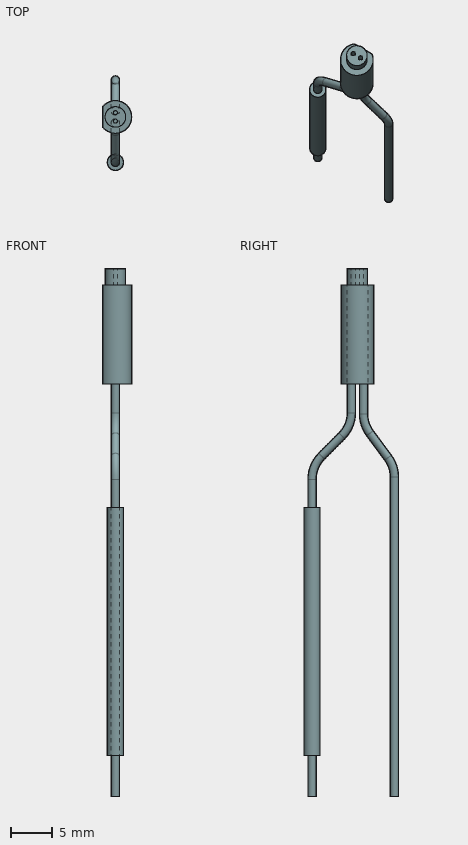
import cadquery as cq
import math

total_height = 64.0

body_diameter = 4.0
body_length = 12.0
body_flat_offset = 1.55
nose_diameter = 2.5
nose_length = 2.0
contact_diameter = 0.5
contact_pitch = 1.0
contact_depth = nose_length

wire_diameter = 1.0
wire_bend_radius = 4.0
bare_wire_y = 4.5
bare_straight_length = 3.6
bare_bend_height = 7.7
sleeved_wire_y = -5.5
sleeved_straight_length = 3.45
sleeved_bend_height = 8.05

sleeve_diameter = 2.0
sleeve_bottom = 5.0
sleeve_length = 30.1

nose_base = total_height - nose_length
body_bottom = nose_base - body_length
wire_exit_y = (nose_diameter - wire_diameter) / 2


def cylinder(diameter, bottom, length, y=0.0):
    """Vertical cylinder centred on X = 0."""
    return cq.Workplane("XY", origin=(0, y, bottom)).circle(diameter / 2).extrude(length)


def make_head():
    """Flatted body with a round nose and two contact holes."""
    body = cylinder(body_diameter, body_bottom, body_length)
    keep_box = (
        cq.Workplane("XY", origin=(-body_flat_offset, 0, body_bottom))
        .box(body_diameter, body_diameter, body_length, centered=(False, True, False))
    )
    head = body.intersect(keep_box).union(cylinder(nose_diameter, nose_base, nose_length))
    for side in (-1, 1):
        contact = cylinder(
            contact_diameter, total_height - contact_depth, contact_depth, side * contact_pitch / 2
        )
        head = head.cut(contact)
    return head


def make_wire(lower_y, straight_length, bend_height):
    """Wire leaving the head, swinging outward in an S-bend and running down to Z = 0."""
    side = math.copysign(1, lower_y)
    radius = wire_bend_radius
    bend_top = body_bottom - straight_length
    bend_bottom = bend_top - bend_height

    center_gap = abs(lower_y) - wire_exit_y - 2 * radius
    slope_length = math.sqrt(center_gap**2 + bend_height**2 - (2 * radius) ** 2)
    bend_angle = math.atan2(center_gap, bend_height) + math.atan2(2 * radius, slope_length)

    def bend_offset(angle):
        """Sideways and vertical travel along a bend from its vertical end."""
        return side * radius * (1 - math.cos(angle)), radius * math.sin(angle)

    def upper_point(angle):
        shift, drop = bend_offset(angle)
        return side * wire_exit_y + shift, bend_top - drop

    def lower_point(angle):
        shift, rise = bend_offset(angle)
        return lower_y - shift, bend_bottom + rise

    path = (
        cq.Workplane("YZ")
        .moveTo(side * wire_exit_y, body_bottom)
        .lineTo(*upper_point(0))
        .threePointArc(upper_point(bend_angle / 2), upper_point(bend_angle))
        .lineTo(*lower_point(bend_angle))
        .threePointArc(lower_point(bend_angle / 2), lower_point(0))
        .lineTo(lower_y, 0)
    )
    profile = cq.Workplane("XY", origin=(0, side * wire_exit_y, body_bottom)).circle(wire_diameter / 2)
    return profile.sweep(path)


bare_wire = make_wire(bare_wire_y, bare_straight_length, bare_bend_height)
sleeved_wire = make_wire(sleeved_wire_y, sleeved_straight_length, sleeved_bend_height)
sleeve = cylinder(sleeve_diameter, sleeve_bottom, sleeve_length, sleeved_wire_y)

result = make_head().union(bare_wire).union(sleeved_wire).union(sleeve)